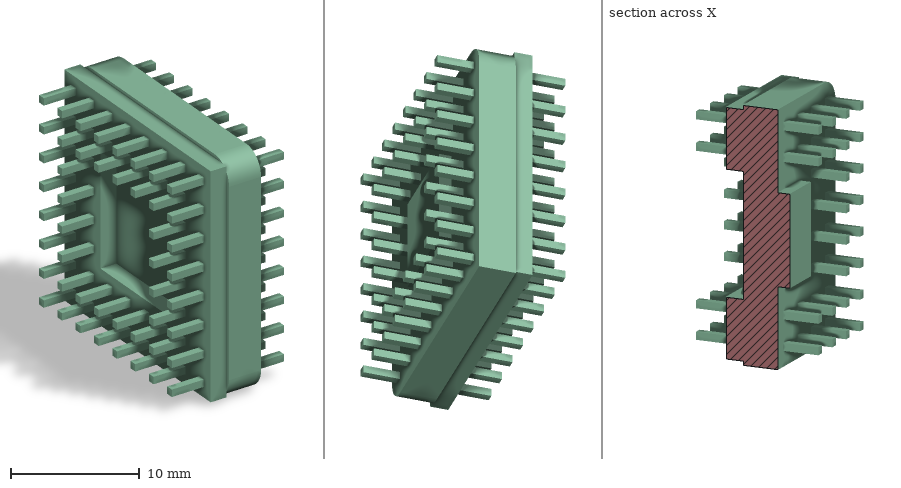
import cadquery as cq

body_side = 21.0
body_depth = 3.0
corner_radius = 2.0

frame_side = 20.33
frame_depth = 1.5
window_side = 10.3

block_side = 7.62
block_depth = 1.0

pin_count = 8
pin_pitch = 2.55
pin_width = 0.65
pin_length = 3.0
rings_of_pins = 2

total_depth = 2 * pin_length + frame_depth + body_depth
pin_start = -total_depth / 2
frame_front = pin_start + pin_length
body_front = frame_front + frame_depth
body_back = body_front + body_depth


def square_bar(side, y_start, depth):
    """Square bar centred on the Y axis, running from y_start towards +Y."""
    return cq.Workplane("XY").box(side, depth, side).translate((0, y_start + depth / 2, 0))


def make_body():
    """Body with three rounded corners and one sharp corner at (-X, -Z) to key it."""
    body = square_bar(body_side, body_front, body_depth)
    return body.edges("|Y").edges(">X or >Z").fillet(corner_radius)


def make_frame():
    frame = square_bar(frame_side, frame_front, frame_depth)
    return frame.cut(square_bar(window_side, frame_front, frame_depth))


def pin_positions():
    """(x, z) of the pins in the outer rings of the square grid."""
    inner = range(rings_of_pins, pin_count - rings_of_pins)
    middle = (pin_count - 1) / 2
    return [
        ((column - middle) * pin_pitch, (row - middle) * pin_pitch)
        for column in range(pin_count)
        for row in range(pin_count)
        if not (column in inner and row in inner)
    ]


result = make_body().union(make_frame()).union(square_bar(block_side, body_back, block_depth))

pin = square_bar(pin_width, pin_start, total_depth)
for x, z in pin_positions():
    result = result.union(pin.translate((x, 0, z)))